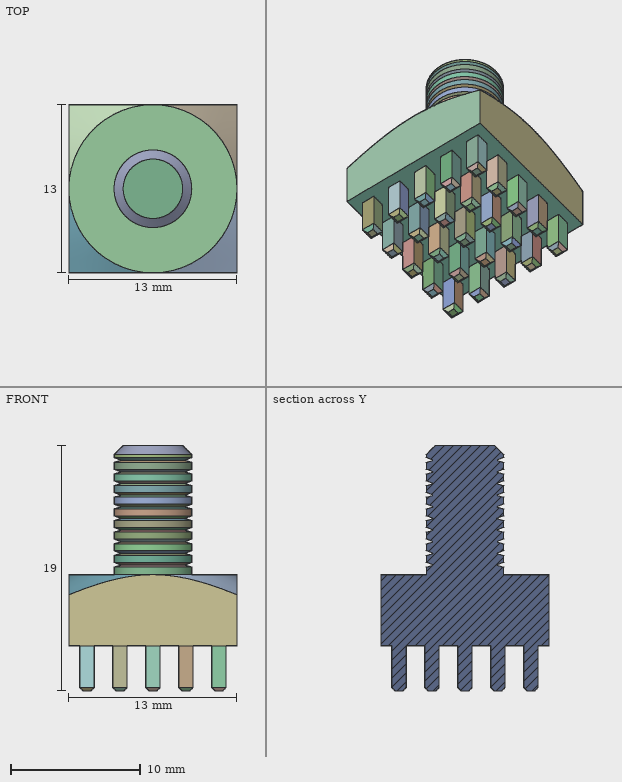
import cadquery as cq
import math

body_width = 13.0
body_height = 5.51
corner_cone_angle = 30

stud_diameter = 6.0
stud_chamfer = 0.7
groove_count = 10
groove_span = 8.1
groove_pitch = groove_span / (groove_count - 1)
groove_width = 0.36
groove_depth = 0.53
groove_root_drop = 0.2
first_groove_drop = 0.95

pins_per_side = 5
pin_pitch = 2.55
pin_width = 1.12
pin_chamfer = 0.28
pin_length = 3.5

overall_height = 19
stud_radius = stud_diameter / 2
stud_top = overall_height - pin_length


def make_body():
    """Square block whose top corners are cut by a cone touching the four top edges."""
    top_radius = body_width / 2
    corner_radius = top_radius * math.sqrt(2)
    corner_drop = (corner_radius - top_radius) * math.tan(math.radians(corner_cone_angle))
    block = cq.Workplane("XY").box(body_width, body_width, body_height, centered=(True, True, False))
    envelope = (
        cq.Workplane("XZ")
        .lineTo(corner_radius, 0)
        .lineTo(corner_radius, body_height - corner_drop)
        .lineTo(top_radius, body_height)
        .lineTo(0, body_height)
        .close()
        .revolve()
    )
    return block.intersect(envelope)


def make_stud():
    """Chamfered stud with evenly spaced V-shaped ring grooves, revolved from its half profile."""
    profile = (
        cq.Workplane("XZ")
        .moveTo(0, body_height)
        .lineTo(0, stud_top)
        .lineTo(stud_radius - stud_chamfer, stud_top)
        .lineTo(stud_radius, stud_top - stud_chamfer)
    )
    for index in range(groove_count):
        groove_top = stud_top - first_groove_drop - index * groove_pitch
        profile = (
            profile.lineTo(stud_radius, groove_top)
            .lineTo(stud_radius - groove_depth, groove_top - groove_root_drop)
            .lineTo(stud_radius, groove_top - groove_width)
        )
    return profile.lineTo(stud_radius, body_height).close().revolve()


def make_pins():
    """Full square grid of pins with chamfered lower ends."""
    return (
        cq.Workplane("XY")
        .rarray(pin_pitch, pin_pitch, pins_per_side, pins_per_side)
        .rect(pin_width, pin_width)
        .extrude(-pin_length)
        .faces("<Z")
        .chamfer(pin_chamfer)
    )


result = make_body().union(make_stud()).union(make_pins())